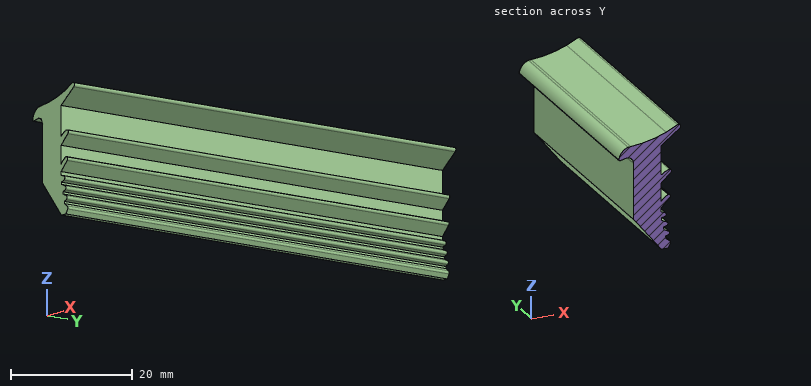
import cadquery as cq
import math

LENGTH = 80.0
WIDTH = 11.29
HEIGHT = 21.97

WEB_THICKNESS = 5.05
WEB_BOTTOM_Z = 6.33

LIP_REACH = 2.65
LIP_EDGE_Z = 17.4
LIP_TOE = (-2.4, 17.2)
LIP_UNDERSIDE_Z = 17.5
LIP_FILLET = 1.1
FILLET_MID_ANGLE = 45
LIP_CROWN_MID = (-2.12, 18.66)
LIP_CROWN_END = (-0.95, 19.45)

TOP_CURVE_START = (-0.5, 19.5)
TOP_CURVE_MID = (2.8, 19.96)
TOP_CURVE_END = (5.95, 20.93)
WING_TIP_RADIUS = 0.45
WING_TIP_START_ANGLE = 113
WING_TIP_END_ANGLE = -56
WING_ROOT_Z = 18.6

BARB_TIP_RADIUS = 0.4
BARB_TIP_START_ANGLE = 100
BARB_TIP_END_ANGLE = -48
BARB_BULGE = 0.1
BARBS = [
    {"upper_root_z": 13.4, "lower_root_z": 11.85, "tip": (6.58, 13.8)},
    {"upper_root_z": 8.7, "lower_root_z": 7.4, "tip": (6.4, 9.3)},
]

TOOTH_COUNT = 3
TOOTH_STEP_X = 0.3
TOOTH_PITCH_Z = 1.7
TOOTH_TIP_RADIUS = 0.38
TIP_START_ANGLE = 65
TOOTH_TIP_END_ANGLE = -60
FIRST_TOOTH_ROOT_Z = 6.8
FIRST_TOOTH_CENTRE = (5.66, 6.15)
FIRST_NOTCH = (5.12, 5.6)
NOTCH_STEP_X = 0.4
NOTCH_FLAT = (0.1, -0.4)

NOSE_TIP_CENTRE = (6.43, 0.95)
NOSE_TIP_RADIUS = 0.42
NOSE_TIP_END_ANGLE = -25
NOSE_FOOT_INNER_X = 6.35
NOSE_FOOT_OUTER_X = 5.1
NOSE_CHAMFER = (4.82, 0.32)


def around(centre, radius, angle):
    """Point at the given angle (degrees from +X) on a circle."""
    turn = math.radians(angle)
    return (centre[0] + radius * math.cos(turn), centre[1] + radius * math.sin(turn))


def add_round_tip(path, centre, radius, start_angle, end_angle):
    """Arc around a tip whose start point the path has already reached."""
    middle_angle = (start_angle + end_angle) / 2
    return path.threePointArc(
        around(centre, radius, middle_angle),
        around(centre, radius, end_angle),
    )


def add_lip_and_wing(path):
    """From the top of the web's outer face, over the lip and wing, to the wing root."""
    bend = around((-LIP_FILLET, LIP_UNDERSIDE_Z - LIP_FILLET), LIP_FILLET, FILLET_MID_ANGLE)
    wing_tip_centre = (WIDTH - LIP_REACH - WING_TIP_RADIUS, HEIGHT - WING_TIP_RADIUS)
    path = path.lineTo(0, LIP_UNDERSIDE_Z - LIP_FILLET)
    path = path.threePointArc(bend, (-LIP_FILLET, LIP_UNDERSIDE_Z))
    path = path.lineTo(*LIP_TOE)
    path = path.lineTo(-LIP_REACH, LIP_EDGE_Z)
    path = path.threePointArc(LIP_CROWN_MID, LIP_CROWN_END)
    path = path.lineTo(*TOP_CURVE_START)
    path = path.threePointArc(TOP_CURVE_MID, TOP_CURVE_END)
    path = path.lineTo(*around(wing_tip_centre, WING_TIP_RADIUS, WING_TIP_START_ANGLE))
    path = add_round_tip(path, wing_tip_centre, WING_TIP_RADIUS, WING_TIP_START_ANGLE, WING_TIP_END_ANGLE)
    return path.lineTo(WEB_THICKNESS, WING_ROOT_Z)


def add_barb(path, upper_root_z, lower_root_z, tip):
    """Upward-leaning barb with a bulged upper side and a rounded tip."""
    root = (WEB_THICKNESS, upper_root_z)
    tip_top = around(tip, BARB_TIP_RADIUS, BARB_TIP_START_ANGLE)
    bulge_point = ((root[0] + tip_top[0]) / 2, (root[1] + tip_top[1]) / 2 + BARB_BULGE)
    path = path.lineTo(*root).threePointArc(bulge_point, tip_top)
    path = add_round_tip(path, tip, BARB_TIP_RADIUS, BARB_TIP_START_ANGLE, BARB_TIP_END_ANGLE)
    return path.lineTo(WEB_THICKNESS, lower_root_z)


def add_teeth(path):
    """Rounded teeth, each followed by a notch, stepping down the nose."""
    path = path.lineTo(WEB_THICKNESS, FIRST_TOOTH_ROOT_Z)
    for index in range(TOOTH_COUNT):
        drop = index * TOOTH_PITCH_Z
        centre = (FIRST_TOOTH_CENTRE[0] + index * TOOTH_STEP_X, FIRST_TOOTH_CENTRE[1] - drop)
        notch = (FIRST_NOTCH[0] + index * NOTCH_STEP_X, FIRST_NOTCH[1] - drop)
        path = path.lineTo(*around(centre, TOOTH_TIP_RADIUS, TIP_START_ANGLE))
        path = add_round_tip(path, centre, TOOTH_TIP_RADIUS, TIP_START_ANGLE, TOOTH_TIP_END_ANGLE)
        path = path.lineTo(*notch)
        path = path.lineTo(notch[0] + NOTCH_FLAT[0], notch[1] + NOTCH_FLAT[1])
    return path


def add_nose(path):
    """Rounded nose tip and the flat foot."""
    path = path.lineTo(*around(NOSE_TIP_CENTRE, NOSE_TIP_RADIUS, TIP_START_ANGLE))
    path = add_round_tip(path, NOSE_TIP_CENTRE, NOSE_TIP_RADIUS, TIP_START_ANGLE, NOSE_TIP_END_ANGLE)
    path = path.lineTo(NOSE_FOOT_INNER_X, 0)
    path = path.lineTo(NOSE_FOOT_OUTER_X, 0)
    return path.lineTo(*NOSE_CHAMFER)


def build_section():
    """Closed outline of the strip."""
    path = cq.Workplane("XZ").moveTo(0, WEB_BOTTOM_Z)
    path = add_lip_and_wing(path)
    for barb in BARBS:
        path = add_barb(path, **barb)
    path = add_teeth(path)
    path = add_nose(path)
    return path.close()


result = build_section().extrude(LENGTH / 2, both=True)